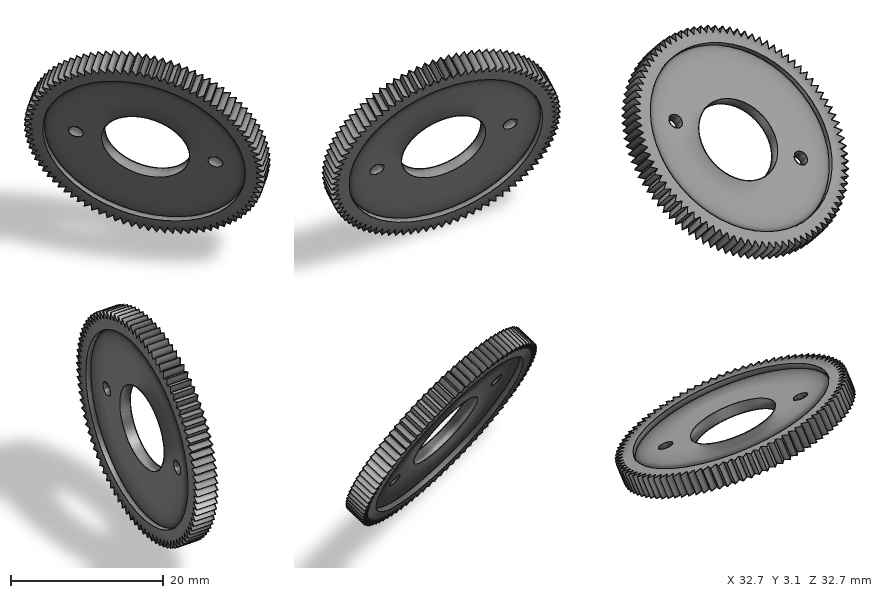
import cadquery as cq
import math

tip_radius = 16.35
tooth_depth = 1.0
tooth_count = 90
rim_width = 3.1

recess_radius = 13.83
recess_depth = 0.75

bore_diameter = 12.0
bolt_hole_diameter = 2.0
bolt_hole_offset = 9.5

root_radius = tip_radius - tooth_depth
front_face = -rim_width / 2
back_face = rim_width / 2


def sketch_plane(y):
    """Plane facing -Y at the given Y, with X across and Z up."""
    return cq.Workplane("XZ", origin=(0, y, 0))


def polar_point(radius, angle):
    return (radius * math.cos(angle), radius * math.sin(angle))


def toothed_blank():
    """Disc with pointed straight-sided teeth, the first tip lying on +X."""
    pitch_angle = 2 * math.pi / tooth_count
    outline = []
    for tooth in range(tooth_count):
        tip_angle = tooth * pitch_angle
        outline.append(polar_point(tip_radius, tip_angle))
        outline.append(polar_point(root_radius, tip_angle + pitch_angle / 2))
    return sketch_plane(back_face).polyline(outline).close().extrude(rim_width)


def recess(back_end):
    """Round pocket cutter reaching recess_depth toward -Y from back_end."""
    return sketch_plane(back_end).circle(recess_radius).extrude(recess_depth)


def hole(x, diameter):
    """Cutter for a hole through the full width, centred at x on the X axis."""
    return sketch_plane(back_face).center(x, 0).circle(diameter / 2).extrude(rim_width)


result = toothed_blank()

for back_end in (front_face + recess_depth, back_face):
    result = result.cut(recess(back_end))

result = result.cut(hole(0, bore_diameter))
for x in (-bolt_hole_offset, bolt_hole_offset):
    result = result.cut(hole(x, bolt_hole_diameter))